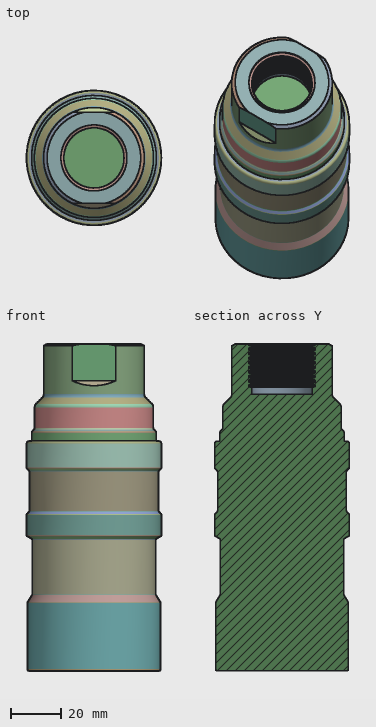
import cadquery as cq
import math

height = 130.4
collar_diameter = 53.9

base_radius = 26.6
waist_radius = 24.6
collar_radius = collar_diameter / 2
grip_radius = 25.8
step_radius = 24.9
shoulder_radius = 23.7
neck_radius = 20.1

base_top = 27.3
waist_bottom = 30.5
waist_top = 52.5
lower_collar_bottom = 53.9
lower_collar_top = 62.5
grip_bottom = 63.6
grip_top = 79.7
upper_collar_bottom = 80.9
upper_collar_top = 91.7
step_top = 95.3
shoulder_top = 105.9

shoulder_bottom = step_top + step_radius - shoulder_radius
neck_bottom = shoulder_top + shoulder_radius - neck_radius

base_round = 0.8
edge_round = 0.5
collar_round = 1.0
step_round = 0.9
neck_round = 2.0
rim_chamfer_width = 1.4
rim_chamfer_height = 0.8

flat_distance = 18.1
flat_bottom = 115.7

thread_minor_radius = 12.0
thread_major_radius = 13.2
thread_pitch = 1.8
thread_land = 0.5
thread_turns = 10
hole_depth = 20.1


def rounded_corner(before, corner, after, radius):
    """Return the start, middle and end of the arc that rounds a corner."""
    to_before = (cq.Vector(*before) - cq.Vector(*corner)).normalized()
    to_after = (cq.Vector(*after) - cq.Vector(*corner)).normalized()
    half_angle = to_before.getAngle(to_after) / 2
    setback = radius / math.tan(half_angle)
    middle_distance = radius / math.sin(half_angle) - radius
    bisector = (to_before + to_after).normalized()
    start = cq.Vector(*corner) + to_before * setback
    middle = cq.Vector(*corner) + bisector * middle_distance
    end = cq.Vector(*corner) + to_after * setback
    return [point.toTuple()[:2] for point in (start, middle, end)]


def turned_body():
    """Revolve the outside, given as (radius, height, rounding) corners."""
    corners = [
        (0, 0, 0),
        (base_radius, 0, base_round),
        (base_radius, base_top, edge_round),
        (waist_radius, waist_bottom, edge_round),
        (waist_radius, waist_top, edge_round),
        (collar_radius, lower_collar_bottom, edge_round),
        (collar_radius, lower_collar_top, edge_round),
        (grip_radius, grip_bottom, edge_round),
        (grip_radius, grip_top, edge_round),
        (collar_radius, upper_collar_bottom, edge_round),
        (collar_radius, upper_collar_top, collar_round),
        (step_radius, upper_collar_top, 0),
        (step_radius, step_top, step_round),
        (shoulder_radius, shoulder_bottom, step_round),
        (shoulder_radius, shoulder_top, neck_round),
        (neck_radius, neck_bottom, neck_round),
        (neck_radius, height - rim_chamfer_height, 0),
        (neck_radius - rim_chamfer_width, height, 0),
        (0, height, 0),
    ]
    outline = cq.Workplane("XZ").moveTo(0, 0)
    for before, corner, after in zip(corners, corners[1:], corners[2:]):
        if corner[2] == 0:
            outline = outline.lineTo(*corner[:2])
        else:
            start, middle, end = rounded_corner(before[:2], corner[:2], after[:2], corner[2])
            outline = outline.lineTo(*start).threePointArc(middle, end)
    outline = outline.lineTo(0, height).close()
    return outline.revolve(360, (0, 0), (0, 1))


def wrench_flat_cutter():
    """Wedge that cuts the flat at -Y, with a 45 degree run-out at its lower end."""
    cut_depth = neck_radius - flat_distance
    section = [
        (-flat_distance, height),
        (-flat_distance, flat_bottom),
        (-flat_distance - cut_depth, flat_bottom - cut_depth),
        (-flat_distance - cut_depth, height),
    ]
    return cq.Workplane("YZ").polyline(section).close().extrude(neck_radius, both=True)


def threaded_hole_cutter():
    """Blind hole whose thread is a stack of ring grooves, the topmost opening at the rim."""
    flank_height = thread_pitch / 2 - thread_land
    outline = cq.Workplane("XZ").moveTo(0, height)
    for turn in range(thread_turns):
        root_top = height - turn * thread_pitch
        root_bottom = root_top - thread_land
        crest_top = root_bottom - flank_height
        crest_bottom = crest_top - thread_land
        outline = outline.lineTo(thread_major_radius, root_top)
        outline = outline.lineTo(thread_major_radius, root_bottom)
        outline = outline.lineTo(thread_minor_radius, crest_top)
        outline = outline.lineTo(thread_minor_radius, crest_bottom)
    outline = outline.lineTo(thread_minor_radius, height - hole_depth)
    outline = outline.lineTo(0, height - hole_depth).close()
    return outline.revolve(360, (0, 0), (0, 1))


flat_cutter = wrench_flat_cutter()
result = turned_body().cut(flat_cutter).cut(flat_cutter.mirror("XZ")).cut(threaded_hole_cutter())